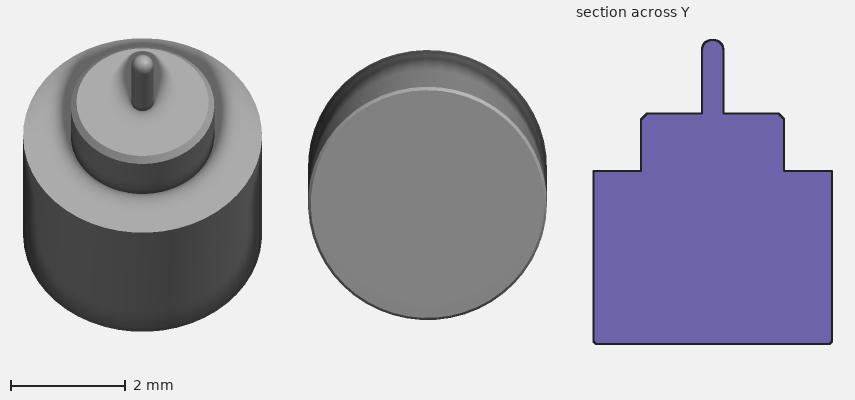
import cadquery as cq

total_height = 5.3

body_diameter = 4.16
body_height = 3.02
body_chamfer = 0.05

collar_diameter = 2.5
collar_height = 1.0
collar_chamfer = 0.1
collar_top = body_height + collar_height

pin_diameter = 0.38
pin_length = total_height - collar_top
pin_tip_flat_diameter = 0.04
pin_tip_radius = (pin_diameter - pin_tip_flat_diameter) / 2


def make_cylinder(diameter, bottom, height):
    """Upright cylinder on the Z axis, starting at the given height."""
    return cq.Workplane("XY").workplane(offset=bottom).circle(diameter / 2).extrude(height)


def make_body():
    """Wide base cylinder, chamfered around its bottom edge."""
    body = make_cylinder(body_diameter, 0, body_height)
    return body.faces("<Z").edges().chamfer(body_chamfer)


def make_collar():
    """Narrower cylinder on the body, chamfered around its top edge."""
    collar = make_cylinder(collar_diameter, body_height, collar_height)
    return collar.faces(">Z").edges().chamfer(collar_chamfer)


def make_pin():
    """Thin pin on the collar; its rounded tip keeps a tiny flat in the middle."""
    pin = make_cylinder(pin_diameter, collar_top, pin_length)
    return pin.faces(">Z").edges().fillet(pin_tip_radius)


result = make_body().union(make_collar()).union(make_pin())